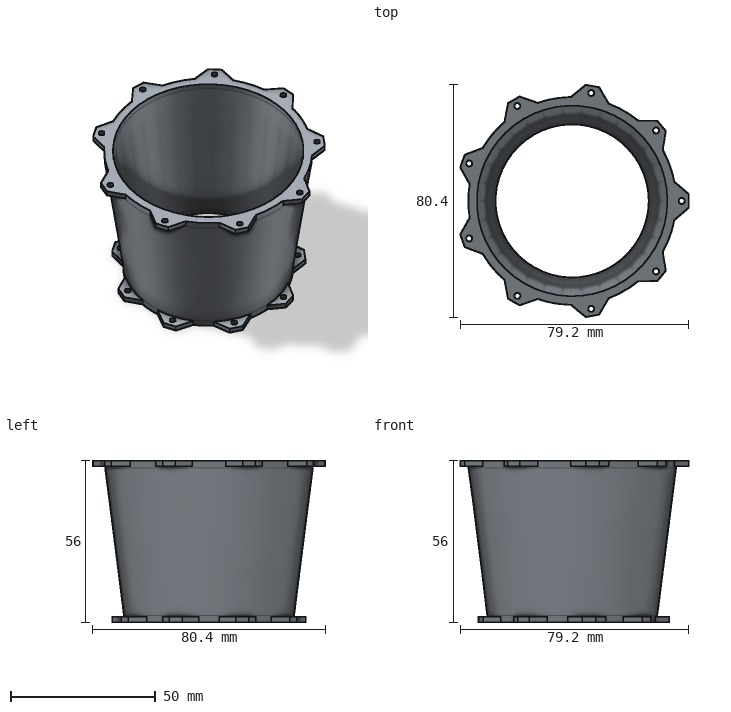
import cadquery as cq
import math

height = 56.0
ring_height = 2.5
bore_land = 2.0

top_radius = 72.0 / 2
bottom_radius = 59.0 / 2
top_bore_diameter = 66.0
wall = top_radius - top_bore_diameter / 2

lug_count = 9
lug_thickness = 2.0
top_lug_reach = 4.4
bottom_lug_reach = 4.2
lug_tip_width = 4.7
lug_root_width = 13.35
hole_inset = 2.5
hole_diameter = 2.0


def revolved_body():
    """Hollow cone with a short straight ring at each end."""
    profile = [
        (bottom_radius - wall, 0),
        (bottom_radius, 0),
        (bottom_radius, ring_height),
        (top_radius, height - ring_height),
        (top_radius, height),
        (top_radius - wall, height),
        (top_radius - wall, height - bore_land),
        (bottom_radius - wall, bore_land),
    ]
    return cq.Workplane("XZ").polyline(profile).close().revolve(360, (0, 0, 0), (0, 1, 0))


def lugs(ring_radius, reach, base_z):
    """Tapered lugs with a hole each, spaced evenly around a ring."""
    tip = ring_radius + reach
    root = math.sqrt(ring_radius**2 - (lug_root_width / 2) ** 2)
    inner = ring_radius - wall / 2
    outline = [
        (root, -lug_root_width / 2),
        (tip, -lug_tip_width / 2),
        (tip, lug_tip_width / 2),
        (root, lug_root_width / 2),
    ]
    lug = (
        cq.Workplane("XY", origin=(0, 0, base_z))
        .polyline(outline)
        .threePointArc((inner, 0), outline[0])
        .close()
        .extrude(lug_thickness)
    )
    hole = (
        cq.Workplane("XY", origin=(0, 0, base_z))
        .center(tip - hole_inset, 0)
        .circle(hole_diameter / 2)
        .extrude(lug_thickness)
    )
    lug = lug.cut(hole)
    ring_of_lugs = cq.Workplane("XY")
    for i in range(lug_count):
        ring_of_lugs = ring_of_lugs.add(lug.rotate((0, 0, 0), (0, 0, 1), i * 360 / lug_count))
    return ring_of_lugs.combine()


result = (
    revolved_body()
    .union(lugs(bottom_radius, bottom_lug_reach, 0))
    .union(lugs(top_radius, top_lug_reach, height - lug_thickness))
)